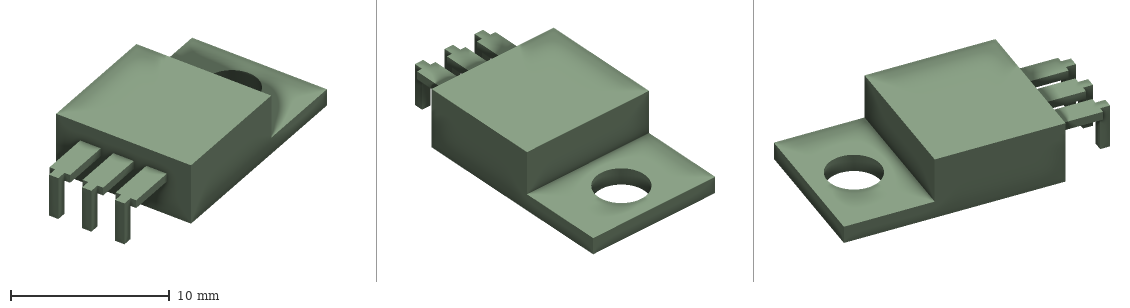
import cadquery as cq

width = 10.2
total_length = 19.7
body_height = 4.5

tab_length = 6.35
tab_thickness = 1.25
hole_diameter = 3.8
hole_to_tab_end = 3.15

lead_count = 3
lead_pitch = 2.5
lead_top = 3.15
lead_thickness = 0.6
shank_length = 3.5
shank_width = 1.55
pin_depth = 0.7
pin_width = 0.7

lead_length = shank_length + pin_depth
tab_end = total_length - lead_length
body_length = tab_end - tab_length


def block(x_size, y_start, y_end, z_bottom, z_top, x_center=0):
    """Box centred in X about x_center, between the given Y and Z limits."""
    return (
        cq.Workplane("XY")
        .box(x_size, y_end - y_start, z_top - z_bottom, centered=(True, False, False))
        .translate((x_center, y_start, z_bottom))
    )


def make_package():
    """Body block and the thinner tab behind it, with the screw hole through the tab."""
    body = block(width, 0, body_length, 0, body_height)
    tab = block(width, body_length, tab_end, 0, tab_thickness)
    hole = (
        cq.Workplane("XY")
        .center(0, tab_end - hole_to_tab_end)
        .circle(hole_diameter / 2)
        .extrude(tab_thickness)
    )
    return body.union(tab).cut(hole)


def make_lead(x_center):
    """Horizontal shank and the vertical pin at its free end."""
    shank = block(shank_width, -shank_length, 0, lead_top - lead_thickness, lead_top, x_center)
    pin = block(pin_width, -lead_length, -shank_length, 0, lead_top, x_center)
    return shank.union(pin)


result = make_package()
for index in range(lead_count):
    lead_x = (index - (lead_count - 1) / 2) * lead_pitch
    result = result.union(make_lead(lead_x))